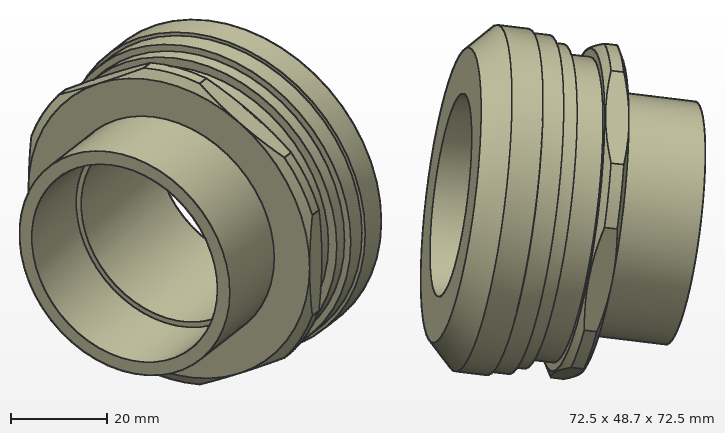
import cadquery as cq

spigot_length = 18.0
hex_thickness = 5.1
neck_length = 5.9
inner_step_length = 3.15
outer_step_length = 4.55
total_length = 48.69
rim_chamfer = 5.4

hex_front = spigot_length
hex_back = hex_front + hex_thickness
neck_end = hex_back + neck_length
inner_step_end = neck_end + inner_step_length
outer_step_end = inner_step_end + outer_step_length

spigot_diameter = 50.9
neck_diameter = 64.0
inner_step_diameter = 68.0
outer_step_diameter = 71.0
rim_diameter = 72.55

hex_across_flats = 68.0
hex_corner_diameter = 72.0
hex_front_chamfer = 1.1
hex_front_face_diameter = hex_across_flats
hex_back_chamfer = 1.3
hex_back_face_diameter = 67.5

socket_diameter = 44.9
socket_depth = 18.0
through_diameter = 42.5


def cylinder(diameter, start, end):
    """Solid cylinder about the Y axis between two axial stations."""
    return cq.Workplane("XZ", origin=(0, start, 0)).circle(diameter / 2).extrude(start - end)


def make_rim():
    rim = cylinder(rim_diameter, outer_step_end, total_length)
    return rim.faces(">Y").chamfer(rim_chamfer)


def make_hex_flange():
    """Hexagon trimmed by a turned blank that is chamfered on both faces."""
    corner_radius = hex_corner_diameter / 2
    blank = (
        cq.Workplane("XY")
        .moveTo(0, hex_front)
        .lineTo(hex_front_face_diameter / 2, hex_front)
        .lineTo(corner_radius, hex_front + hex_front_chamfer)
        .lineTo(corner_radius, hex_back - hex_back_chamfer)
        .lineTo(hex_back_face_diameter / 2, hex_back)
        .lineTo(0, hex_back)
        .close()
        .revolve(360, (0, 0, 0), (0, 1, 0))
    )
    hexagon = (
        cq.Workplane("XZ", origin=(0, hex_front, 0))
        .polygon(6, hex_across_flats, circumscribed=True)
        .extrude(-hex_thickness)
    )
    return blank.intersect(hexagon)


def make_body():
    body = cylinder(spigot_diameter, 0, hex_front)
    body = body.union(make_hex_flange())
    body = body.union(cylinder(neck_diameter, hex_back, neck_end))
    body = body.union(cylinder(inner_step_diameter, neck_end, inner_step_end))
    body = body.union(cylinder(outer_step_diameter, inner_step_end, outer_step_end))
    return body.union(make_rim())


def cut_bore(body):
    body = body.cut(cylinder(through_diameter, 0, total_length))
    return body.cut(cylinder(socket_diameter, 0, socket_depth))


result = cut_bore(make_body())